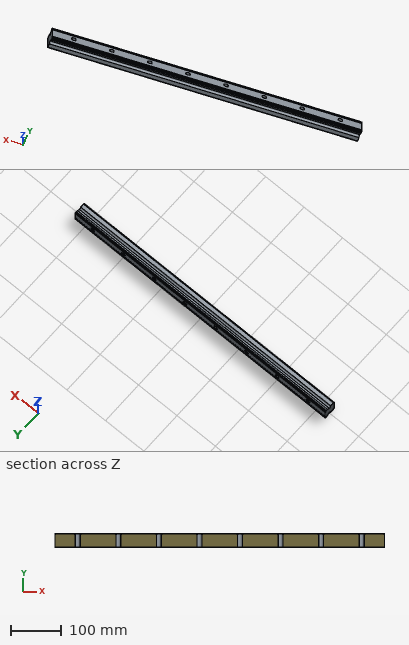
import cadquery as cq

length = 650.0
depth = 27.0
height = 34.0
half_depth = depth / 2
half_height = height / 2

base_chamfer = 2.5
lip_chamfer = 1.0

track_outer_y = 10.5
track_inner_y = 6.5
track_inner_z = 15.0
track_radius = 8.0
groove_floor_y = 1.0
groove_floor_z = 12.0
groove_wall_y = -2.5
corner_radius = 2.5

notch_center_z = 13.5
notch_half_width = 1.0
notch_depth = 2.0

hole_count = 8
hole_pitch = 80.0
hole_diameter = 9.0


def upper_half_section():
    """Section above the middle plane, drawn from the mounting face to the +Y face."""
    return (
        cq.Workplane("YZ")
        .moveTo(-half_depth, 0)
        .lineTo(-half_depth, half_height - base_chamfer)
        .lineTo(-half_depth + base_chamfer, half_height)
        .lineTo(groove_wall_y, half_height)
        .lineTo(groove_wall_y, groove_floor_z + corner_radius)
        .radiusArc((groove_wall_y + corner_radius, groove_floor_z), -corner_radius)
        .lineTo(groove_floor_y, groove_floor_z)
        .lineTo(track_inner_y, track_inner_z)
        .radiusArc((track_outer_y, half_height), -track_radius)
        .lineTo(half_depth - lip_chamfer, half_height)
        .lineTo(half_depth, half_height - lip_chamfer)
        .lineTo(half_depth, notch_center_z + notch_half_width)
        .threePointArc(
            (half_depth - notch_depth, notch_center_z),
            (half_depth, notch_center_z - notch_half_width),
        )
        .lineTo(half_depth, 0)
        .close()
    )


def rail_body():
    """Extrude the half section along X and mirror it about the middle plane."""
    upper_half = upper_half_section().extrude(length / 2, both=True)
    return upper_half.union(upper_half.mirror("XY")).clean()


def mounting_holes():
    """Row of plain cylinders passing through the rail along Y."""
    return (
        cq.Workplane("XZ")
        .rarray(hole_pitch, 6.5, hole_count, 1)
        .circle(hole_diameter / 2)
        .extrude(depth, both=True)
    )


result = rail_body().cut(mounting_holes())